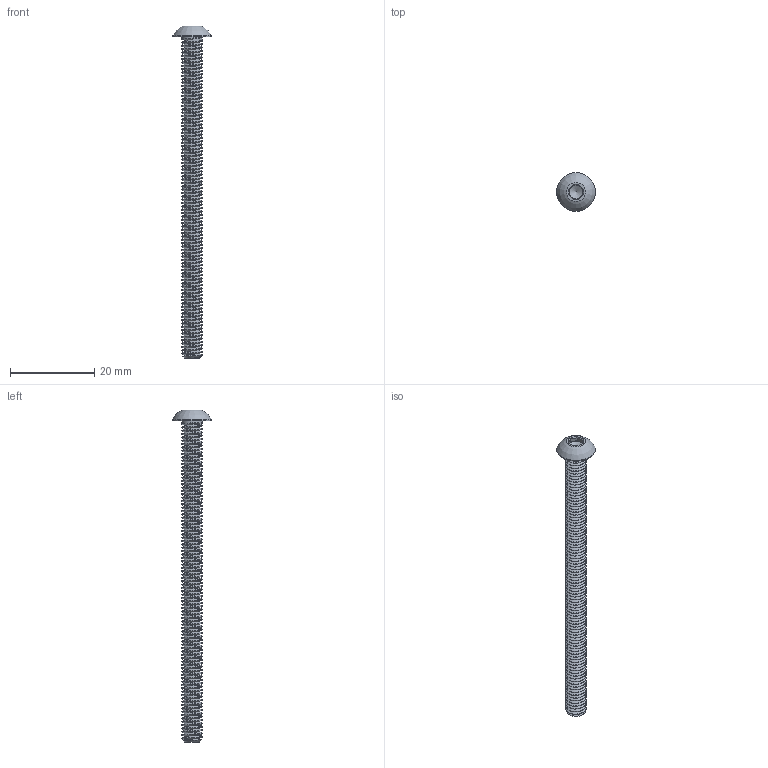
import cadquery as cq
import math

INCH = 25.4

shank_radius = 0.190 * INCH / 2
shank_length = 3.0 * INCH
head_radius = 0.361 * INCH / 2
head_height = 0.101 * INCH
head_top_radius = 2.25
rim_height = 0.25
dome_bulge = 0.32

socket_width = 0.125 * INCH
socket_depth = 1.05
countersink_angle = 90
floor_cone_angle = 120

pitch = INCH / 32
thread_angle = 60
crest_width = pitch / 8
root_width = pitch / 8
flank_height = (pitch - crest_width - root_width) / 2
root_radius = shank_radius - flank_height / math.tan(math.radians(thread_angle / 2))
groove_end_depth = pitch / 2
groove_end_angle = -90

tip_chamfer = 0.65


def make_head():
    """Flat-topped domed head with a short straight rim at the seat."""
    chord_x = head_top_radius - head_radius
    chord_z = head_height - rim_height
    chord = math.hypot(chord_x, chord_z)
    arc_middle = (
        (head_radius + head_top_radius) / 2 + dome_bulge * chord_z / chord,
        (rim_height + head_height) / 2 - dome_bulge * chord_x / chord,
    )
    return (
        cq.Workplane("YZ")
        .lineTo(head_radius, 0)
        .lineTo(head_radius, rim_height)
        .threePointArc(arc_middle, (head_top_radius, head_height))
        .lineTo(0, head_height)
        .close()
        .revolve(360, (0, 0), (0, 1))
    )


def make_cone(base_z, radius, full_angle):
    """Cone pointing down, with its wide end at base_z."""
    depth = radius / math.tan(math.radians(full_angle / 2))
    return cq.Workplane(cq.Solid.makeCone(0, radius, depth, pnt=(0, 0, base_z - depth)))


def make_socket():
    """Hexagonal recess with its flats facing +-Y."""
    floor_z = head_height - socket_depth
    hexagon = (
        cq.Workplane("XY", origin=(0, 0, floor_z))
        .polygon(6, socket_width, circumscribed=True)
        .extrude(socket_depth)
    )
    corner_radius = socket_width / 2 / math.cos(math.pi / 6)
    countersink = make_cone(head_height, corner_radius, countersink_angle)
    floor_cone = make_cone(floor_z, socket_width / 2, floor_cone_angle)
    return hexagon.union(countersink).union(floor_cone)


def make_helix(radius, z):
    """One turn of the thread helix, starting on the +X side at height z."""
    return cq.Wire.makeHelix(pitch, pitch, radius, center=cq.Vector(0, 0, z)).Edges()[0]


def make_end_cap(z):
    """Helicoid from the axis out to the helix that starts at height z."""
    axis = cq.Edge.makeLine(cq.Vector(0, 0, z), cq.Vector(0, 0, z + pitch))
    return cq.Face.makeRuledSurface(axis, make_helix(shank_radius, z))


def make_turn(profile, z):
    """Helical faces swept by the profile in one turn that starts at height z."""
    helices = [make_helix(radius, z + height) for radius, height in profile]
    return [cq.Face.makeRuledSurface(lower, upper) for lower, upper in zip(helices, helices[1:])]


def make_radial_face(corners, z):
    """Flat face on the +X side of the axis, from (radius, height) corners measured from height z."""
    points = [cq.Vector(radius, 0, z + height) for radius, height in corners]
    return cq.Face.makeFromWires(cq.Wire.makePolygon(points, close=True))


def make_threaded_rod():
    """Rod sewn from helical turns: threaded ones, then plain ones at the head, overlong at both ends.

    Each end is a helicoid with a flat radial step, and a flat wall ends the groove.
    """
    groove_mouth = pitch - crest_width
    groove = [
        (shank_radius, 0),
        (root_radius, flank_height),
        (root_radius, flank_height + root_width),
        (shank_radius, groove_mouth),
    ]
    crest_top = (shank_radius, pitch)
    threaded_profile = groove + [crest_top]
    plain_profile = [groove[0], groove[-1], crest_top]
    axis_line = [(0, pitch), (0, 0)]

    threaded_turns = math.ceil(shank_length / pitch) + 1
    plain_turns = 2
    groove_end_z = -groove_end_depth - groove_mouth
    bottom_z = groove_end_z - threaded_turns * pitch
    top_z = groove_end_z + plain_turns * pitch

    faces = [
        make_end_cap(bottom_z),
        make_radial_face(threaded_profile + axis_line, bottom_z),
        make_radial_face(groove, groove_end_z),
        make_radial_face(plain_profile + axis_line, top_z),
        make_end_cap(top_z),
    ]
    for turn in range(threaded_turns):
        faces += make_turn(threaded_profile, bottom_z + turn * pitch)
    for turn in range(plain_turns):
        faces += make_turn(plain_profile, groove_end_z + turn * pitch)
    rod = cq.Workplane(cq.Solid.makeSolid(cq.Shell.makeShell(faces)))
    return rod.rotate((0, 0, 0), (0, 0, 1), groove_end_angle)


def make_shank_envelope():
    """Trims the rod at the head seat and to the chamfered tip, standing clear of the thread."""
    clearance = 1.0
    tip_radius = shank_radius - tip_chamfer
    outer_radius = shank_radius + clearance
    return (
        cq.Workplane("XZ")
        .moveTo(0, -shank_length)
        .lineTo(tip_radius, -shank_length)
        .lineTo(outer_radius, outer_radius - tip_radius - shank_length)
        .lineTo(outer_radius, 0)
        .lineTo(0, 0)
        .close()
        .revolve(360, (0, 0), (0, 1))
    )


screw_head = make_head().cut(make_socket())
threaded_shank = make_threaded_rod().intersect(make_shank_envelope())
result = screw_head.union(threaded_shank, clean=False)